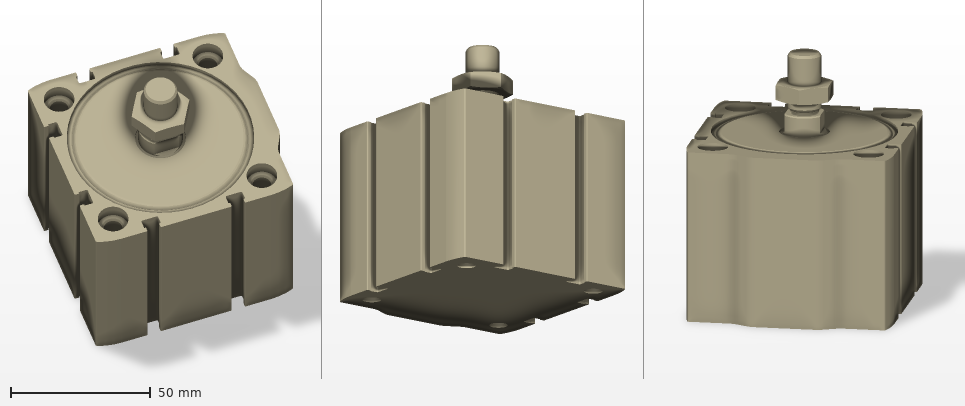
import cadquery as cq
import math

overall_height = 91.5
housing_height = 62.5
half_width = 37.5
corner_fillet = 0.7

flank_bow_start = 28.4
flank_bow_radius = 25.0

pad_height = 3.5
pad_half_width = 12.4
pad_slope = 27.0
pad_radius = 6.95

slot_offset = 16.0
slot_neck_width = 5.0
slot_neck_depth = 1.7
slot_width = 6.3
slot_depth = 5.0
slot_lip_radius = 0.4
slot_corner_radius = 0.55

bolt_offset = 28.3
bolt_diameter = 6.7
bolt_chamfer_diameter = 8.0
counterbore_diameter = 11.0
counterbore_depth = 5.0

cap_groove_radius = 33.5
cap_groove_depth = 1.8
ring_top_radius = 31.9
ring_top_drop = 0.7
ring_gap_radius = 31.5
ring_gap_inner_radius = 31.3
ring_gap_drop = 1.2
cap_shoulder_radius = 30.4
cap_shoulder_drop = 0.5
cap_top_radius = 29.7
cap_top_drop = 0.2

wiper_outer_radius = 9.1
wiper_groove_depth = 0.9
wiper_lip_radius = 8.6
wiper_lip_drop = 0.6
wiper_top_drop = 0.4

rod_diameter = 16.0
rod_socket_depth = 9.15
rod_flat_width = 13.0
rod_flat_rise = 0.4
rod_ledge_angle = 30.0
rod_shoulder_z = overall_height - 22.0
rod_chamfer = 0.5
thread_diameter = 12.0
thread_end_z = overall_height - 20.0
thread_tip_diameter = 10.6
thread_tip_height = 1.0
neck_diameter = 9.8
neck_fillet = 0.4

nut_across_flats = 19.0
nut_thickness = 6.0
nut_top_z = overall_height - 11.0
nut_face_diameter = 18.9
nut_chamfer_angle = 15.0

rod_radius = rod_diameter / 2


def z_cylinder(diameter, z_bottom, z_top):
    return cq.Workplane("XY").workplane(offset=z_bottom).circle(diameter / 2).extrude(z_top - z_bottom)


def revolved(radius_height_points):
    """Solid of revolution about Z from a closed (radius, z) outline."""
    return cq.Workplane("XZ").polyline(radius_height_points).close().revolve(360, (0, 0, 0), (0, 1, 0))


def flank_x(y):
    """Half width of the housing at a given |Y| on a bowed flank end."""
    run = y - flank_bow_start
    return half_width - flank_bow_radius + math.sqrt(flank_bow_radius**2 - run**2)


def housing_block():
    bow_middle = (flank_bow_start + half_width) / 2
    x_middle = flank_x(bow_middle)
    x_end = flank_x(half_width)
    block = (
        cq.Workplane("XY")
        .moveTo(-x_end, -half_width)
        .lineTo(x_end, -half_width)
        .threePointArc((x_middle, -bow_middle), (half_width, -flank_bow_start))
        .lineTo(half_width, flank_bow_start)
        .threePointArc((x_middle, bow_middle), (x_end, half_width))
        .lineTo(-x_end, half_width)
        .threePointArc((-x_middle, bow_middle), (-half_width, flank_bow_start))
        .lineTo(-half_width, -flank_bow_start)
        .threePointArc((-x_middle, -bow_middle), (-x_end, -half_width))
        .close()
        .extrude(housing_height)
    )
    return block.edges("|Z and (>Y or <Y)").fillet(corner_fillet)


def add_back_pad(block):
    pad_base = pad_half_width + pad_height / math.tan(math.radians(pad_slope))
    pad = (
        cq.Workplane("XY")
        .polyline([
            (-pad_base, half_width),
            (-pad_base, 0),
            (pad_base, 0),
            (pad_base, half_width),
            (pad_half_width, half_width + pad_height),
            (-pad_half_width, half_width + pad_height),
        ])
        .close()
        .extrude(housing_height)
    )
    block = block.union(pad)
    margin = 0.9
    pad_edges = cq.selectors.BoxSelector(
        (-pad_base - margin, half_width - margin, 0),
        (pad_base + margin, half_width + pad_height + margin, housing_height),
    )
    return block.edges("|Z").edges(pad_edges).fillet(pad_radius)


def t_slot():
    """T-slot along Z, opening toward -Y at the -Y face, centred on X = 0."""
    neck_half = slot_neck_width / 2
    mouth_half = neck_half + slot_lip_radius
    arc_inset = slot_lip_radius * (1 - math.sqrt(0.5))
    face = -half_width
    lip_end = face + slot_lip_radius
    neck_end = face + slot_neck_depth
    slot = (
        cq.Workplane("XY")
        .moveTo(-mouth_half, face)
        .lineTo(mouth_half, face)
        .threePointArc((neck_half + arc_inset, face + arc_inset), (neck_half, lip_end))
        .lineTo(neck_half, neck_end)
        .lineTo(slot_width / 2, neck_end)
        .lineTo(slot_width / 2, face + slot_depth)
        .lineTo(-slot_width / 2, face + slot_depth)
        .lineTo(-slot_width / 2, neck_end)
        .lineTo(-neck_half, neck_end)
        .lineTo(-neck_half, lip_end)
        .threePointArc((-neck_half - arc_inset, face + arc_inset), (-mouth_half, face))
        .close()
        .extrude(housing_height)
    )
    return slot.edges("|Z and >Y").fillet(slot_corner_radius)


def cut_slots(block):
    for side_angle in (0, 90, -90):
        for offset in (-slot_offset, slot_offset):
            slot = t_slot().translate((offset, 0, 0)).rotate((0, 0, 0), (0, 0, 1), side_angle)
            block = block.cut(slot)
    return block


def cut_bolt_holes(block):
    floor_z = housing_height - counterbore_depth
    chamfer = (bolt_chamfer_diameter - bolt_diameter) / 2
    hole = revolved([
        (0, 0),
        (bolt_diameter / 2, 0),
        (bolt_diameter / 2, floor_z - chamfer),
        (bolt_chamfer_diameter / 2, floor_z),
        (counterbore_diameter / 2, floor_z),
        (counterbore_diameter / 2, housing_height),
        (0, housing_height),
    ])
    for x in (-bolt_offset, bolt_offset):
        for y in (-bolt_offset, bolt_offset):
            block = block.cut(hole.translate((x, y, 0)))
    return block


def cut_cap_profile(block):
    """Groove, retaining ring and cap face in the top, with the wiper recess and rod socket."""
    top = housing_height
    cap_top = top - cap_top_drop
    return block.cut(revolved([
        (0, top),
        (cap_groove_radius, top),
        (cap_groove_radius, top - cap_groove_depth),
        (ring_top_radius, top - ring_top_drop),
        (ring_gap_radius, top - ring_gap_drop),
        (ring_gap_inner_radius, top - ring_gap_drop),
        (cap_shoulder_radius, top - cap_shoulder_drop),
        (cap_top_radius, cap_top),
        (wiper_outer_radius, cap_top),
        (wiper_outer_radius, top - wiper_groove_depth),
        (wiper_lip_radius, top - wiper_lip_drop),
        (rod_radius, top - wiper_top_drop),
        (rod_radius, top - rod_socket_depth),
        (0, top - rod_socket_depth),
    ]))


def make_housing():
    return cut_cap_profile(cut_bolt_holes(cut_slots(add_back_pad(housing_block()))))


def make_rod():
    neck_radius = neck_diameter / 2
    thread_radius = thread_diameter / 2
    neck_cone = thread_radius - neck_radius
    arc_inset = neck_fillet * (1 - math.sqrt(0.5))
    rod = (
        cq.Workplane("XZ")
        .moveTo(0, housing_height - rod_socket_depth)
        .lineTo(rod_radius, housing_height - rod_socket_depth)
        .lineTo(rod_radius, rod_shoulder_z - rod_chamfer)
        .lineTo(rod_radius - rod_chamfer, rod_shoulder_z)
        .lineTo(neck_radius + neck_fillet, rod_shoulder_z)
        .threePointArc(
            (neck_radius + arc_inset, rod_shoulder_z + arc_inset),
            (neck_radius, rod_shoulder_z + neck_fillet),
        )
        .lineTo(neck_radius, thread_end_z - neck_cone)
        .lineTo(thread_radius, thread_end_z)
        .lineTo(thread_radius, overall_height - thread_tip_height)
        .lineTo(thread_tip_diameter / 2, overall_height)
        .lineTo(0, overall_height)
        .close()
        .revolve(360, (0, 0, 0), (0, 1, 0))
    )
    return cut_wrench_flats(rod)


def cut_wrench_flats(rod):
    """Two flats facing -X and +X; each runs out on a sloping ledge at its lower end."""
    flat_x = rod_flat_width / 2
    flat_bottom = housing_height + rod_flat_rise
    ledge_run = rod_radius
    ledge_drop = ledge_run * math.tan(math.radians(rod_ledge_angle))
    cutter = (
        cq.Workplane("XZ")
        .polyline([
            (flat_x, flat_bottom),
            (flat_x + ledge_run, flat_bottom - ledge_drop),
            (flat_x + ledge_run, rod_shoulder_z),
            (flat_x, rod_shoulder_z),
        ])
        .close()
        .extrude(rod_radius, both=True)
    )
    return rod.cut(cutter).cut(cutter.mirror("YZ"))


def make_nut():
    """Hexagon nut with flats facing -X and +X and both faces chamfered."""
    corner_radius = nut_across_flats / math.sqrt(3)
    nut_bottom_z = nut_top_z - nut_thickness
    face_radius = nut_face_diameter / 2
    chamfer_drop = (corner_radius - face_radius) * math.tan(math.radians(nut_chamfer_angle))
    hexagon = (
        cq.Workplane("XY")
        .workplane(offset=nut_bottom_z)
        .polygon(6, 2 * corner_radius)
        .extrude(nut_thickness)
        .rotate((0, 0, 0), (0, 0, 1), 30)
    )
    chamfered_envelope = revolved([
        (0, nut_bottom_z),
        (face_radius, nut_bottom_z),
        (corner_radius, nut_bottom_z + chamfer_drop),
        (corner_radius, nut_top_z - chamfer_drop),
        (face_radius, nut_top_z),
        (0, nut_top_z),
    ])
    bore = z_cylinder(thread_diameter, nut_bottom_z, nut_top_z)
    return hexagon.intersect(chamfered_envelope).cut(bore)


housing = make_housing()
rod = make_rod()
nut = make_nut()

result = cq.Compound.makeCompound([housing.val(), rod.val(), nut.val()])